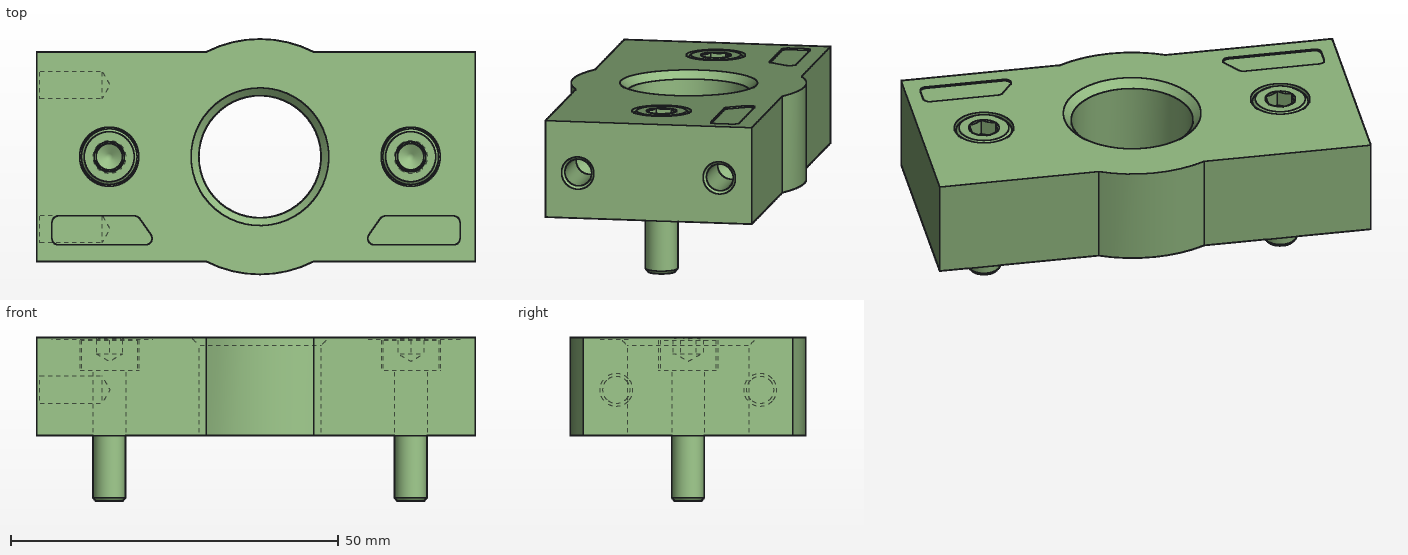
import cadquery as cq
import math

block_length = 67.0
block_width = 32.0
block_height = 15.0
block_left = -34.1
block_right = block_left + block_length
block_front = -block_width / 2
boss_diameter = 36.0

bore_diameter = 18.6
bore_mouth_diameter = 21.05
bore_mouth_angle = 90.0

screw_spacing = 46.0
screw_positions = (-screw_spacing / 2, screw_spacing / 2)
shank_diameter = 5.0
screw_protrusion = 10.0
tip_diameter = 4.15
tip_height = 0.55
head_diameter = 8.5
head_top_diameter = 7.65
head_chamfer = (head_diameter - head_top_diameter) / 2
head_height = 5.0
counterbore_diameter = 9.05

socket_flats = 4.0
socket_half_facet_angle = 30.0
socket_corners = socket_flats / math.cos(math.radians(socket_half_facet_angle))
socket_depth = 2.5
socket_cone_angle = 120.0

tapped_hole_spacing = 22.0
tapped_hole_drop = 8.0
tapped_hole_diameter = 4.15
tapped_mouth_diameter = 5.0
tapped_hole_depth = 10.0
drill_point_angle = 120.0

label_side_margin = 2.35
label_front_margin = 2.55
label_height = 4.4
label_inner_offset = 15.55
label_slant_angle = 55.0
label_corner_radius = 1.0
label_depth = 0.3


def cone_height(diameter, point_angle):
    """Height of a cone with the given base diameter and full point angle."""
    return diameter / 2 / math.tan(math.radians(point_angle / 2))


def make_tapped_hole(y):
    """Cutter for a blind hole along X with a chamfered mouth and a conical end."""
    hole_radius = tapped_hole_diameter / 2
    mouth_radius = tapped_mouth_diameter / 2
    mouth_depth = mouth_radius - hole_radius
    point_depth = tapped_hole_depth + cone_height(tapped_hole_diameter, drill_point_angle)
    axis_start = (0, 0, 0)
    axis_end = (1, 0, 0)
    cutter = (
        cq.Workplane("XY")
        .polyline([
            (0, 0),
            (0, mouth_radius),
            (mouth_depth, hole_radius),
            (tapped_hole_depth, hole_radius),
            (point_depth, 0),
        ])
        .close()
        .revolve(360, axis_start, axis_end)
    )
    return cutter.translate((block_left, y, block_height - tapped_hole_drop))


def make_label_pocket(side, outer_x):
    """Cutter for a label pocket; side is -1 left of the bore and +1 right of it."""
    bottom = block_front + label_front_margin
    top = bottom + label_height
    slant_run = label_height / math.tan(math.radians(label_slant_angle))
    return (
        cq.Workplane("XY", origin=(0, 0, block_height - label_depth))
        .polyline([
            (outer_x, bottom),
            (side * label_inner_offset, bottom),
            (side * (label_inner_offset + slant_run), top),
            (outer_x, top),
        ])
        .close()
        .extrude(label_depth)
        .edges("|Z")
        .fillet(label_corner_radius)
    )


def make_block():
    """Block with its bore, screw seats, tapped holes and label pockets."""
    body = (
        cq.Workplane("XY")
        .center((block_left + block_right) / 2, 0)
        .rect(block_length, block_width)
        .extrude(block_height)
    )
    boss = cq.Workplane("XY").circle(boss_diameter / 2).extrude(block_height)
    body = body.union(boss)

    body = (
        body.faces(">Z")
        .workplane(origin=(0, 0, block_height))
        .cskHole(bore_diameter, bore_mouth_diameter, bore_mouth_angle)
    )
    body = (
        body.faces(">Z")
        .workplane(origin=(0, 0, block_height))
        .pushPoints([(x, 0) for x in screw_positions])
        .cboreHole(shank_diameter, counterbore_diameter, head_height)
    )

    for y in (-tapped_hole_spacing / 2, tapped_hole_spacing / 2):
        body = body.cut(make_tapped_hole(y))

    body = body.cut(make_label_pocket(-1, block_left + label_side_margin))
    body = body.cut(make_label_pocket(1, block_right - label_side_margin))
    return body


def make_socket():
    """Cutter for a hexagon socket with a countersunk mouth and a conical floor."""
    floor_z = block_height - socket_depth
    corner_radius = socket_corners / 2
    flat_radius = socket_flats / 2
    hexagon = (
        cq.Workplane("XY", origin=(0, 0, floor_z))
        .polygon(6, socket_corners)
        .extrude(socket_depth)
        .rotate((0, 0, 0), (0, 0, 1), socket_half_facet_angle)
    )
    floor_cone_height = cone_height(socket_flats, socket_cone_angle)
    floor_cone = cq.Solid.makeCone(
        0,
        flat_radius,
        floor_cone_height,
        pnt=cq.Vector(0, 0, floor_z - floor_cone_height),
    )
    mouth_cone_height = cone_height(socket_corners, socket_cone_angle)
    mouth_cone = cq.Solid.makeCone(
        0,
        corner_radius,
        mouth_cone_height,
        pnt=cq.Vector(0, 0, block_height - mouth_cone_height),
    )
    return hexagon.union(cq.Workplane(floor_cone)).union(cq.Workplane(mouth_cone))


def make_screw(x):
    """Cap screw with its head flush with the top of the block."""
    seat_z = block_height - head_height
    shank_radius = shank_diameter / 2
    head_radius = head_diameter / 2
    screw = (
        cq.Workplane("XZ")
        .polyline([
            (0, -screw_protrusion),
            (tip_diameter / 2, -screw_protrusion),
            (shank_radius, tip_height - screw_protrusion),
            (shank_radius, seat_z),
            (head_radius, seat_z),
            (head_radius, block_height - head_chamfer),
            (head_top_diameter / 2, block_height),
            (0, block_height),
        ])
        .close()
        .revolve(360, (0, 0, 0), (0, 1, 0))
    )
    return screw.cut(make_socket()).translate((x, 0, 0))


block = make_block()
screws = [make_screw(x) for x in screw_positions]

result = cq.Compound.makeCompound([block.val(), *[screw.val() for screw in screws]])